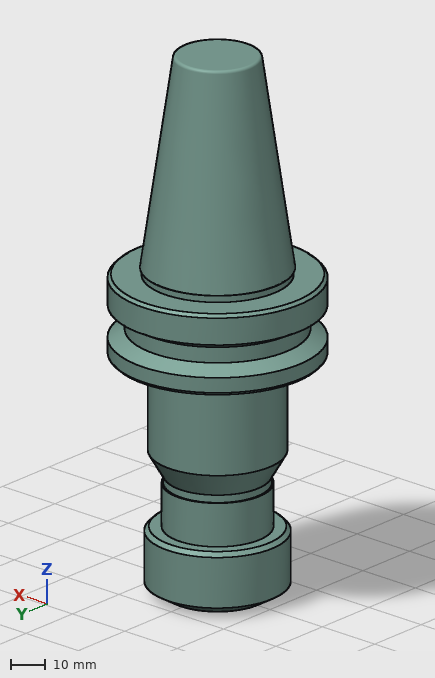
import cadquery as cq

total_height = 165.4

nut_radius = 21.0
nut_face_radius = 15.2
nut_face_chamfer_height = 3.5
nut_height = 20.3
nut_top_chamfer = 1.3

collar_radius = 16.0
collar_top = 33.7
neck_radius = 15.5
neck_top = 36.0
body_radius = 20.0
body_bottom = 43.8
body_fillet = 1.5

flange_radius = 31.51
flange_bottom = 73.0
flange_top = 97.9
flange_chamfer = 1.0
groove_radius = 26.6
groove_floor_bottom = 81.2
groove_floor_top = 86.0
groove_side_height = 2.6

taper_bottom = 100.0
taper_base_radius = 22.23
taper_relief_radius = 21.8
taper_ratio = 7 / 48
taper_top_radius = taper_base_radius - (total_height - taper_bottom) * taper_ratio
taper_tip_fillet = 1.0


def revolve_profile(points):
    """Revolve (radius, height) points, closed along the axis, into a solid."""
    return cq.Workplane("XZ").polyline(points).close().revolve(360, (0, 0, 0), (0, 1, 0))


def make_nut():
    return revolve_profile([
        (0, 0),
        (nut_face_radius, 0),
        (nut_radius, nut_face_chamfer_height),
        (nut_radius, nut_height - nut_top_chamfer),
        (nut_radius - nut_top_chamfer, nut_height),
        (0, nut_height),
    ])


def make_body():
    shaft = revolve_profile([
        (0, nut_height),
        (collar_radius, nut_height),
        (collar_radius, collar_top),
        (neck_radius, collar_top),
        (neck_radius, neck_top),
        (body_radius, body_bottom),
        (body_radius, flange_bottom),
        (0, flange_bottom),
    ])
    root_fillet = (
        cq.Workplane("XZ")
        .moveTo(0, flange_bottom - body_fillet)
        .lineTo(body_radius, flange_bottom - body_fillet)
        .radiusArc((body_radius + body_fillet, flange_bottom), body_fillet)
        .lineTo(0, flange_bottom)
        .close()
        .revolve(360, (0, 0, 0), (0, 1, 0))
    )
    return shaft.union(root_fillet)


def make_flange():
    return revolve_profile([
        (0, flange_bottom),
        (flange_radius - flange_chamfer, flange_bottom),
        (flange_radius, flange_bottom + flange_chamfer),
        (flange_radius, groove_floor_bottom - groove_side_height),
        (groove_radius, groove_floor_bottom),
        (groove_radius, groove_floor_top),
        (flange_radius, groove_floor_top + groove_side_height),
        (flange_radius, flange_top - flange_chamfer),
        (flange_radius - flange_chamfer, flange_top),
        (0, flange_top),
    ])


def make_taper():
    taper = revolve_profile([
        (0, flange_top),
        (taper_relief_radius, flange_top),
        (taper_relief_radius, taper_bottom),
        (taper_base_radius, taper_bottom),
        (taper_top_radius, total_height),
        (0, total_height),
    ])
    return taper.faces(">Z").edges().fillet(taper_tip_fillet)


result = make_nut().union(make_body()).union(make_flange()).union(make_taper())